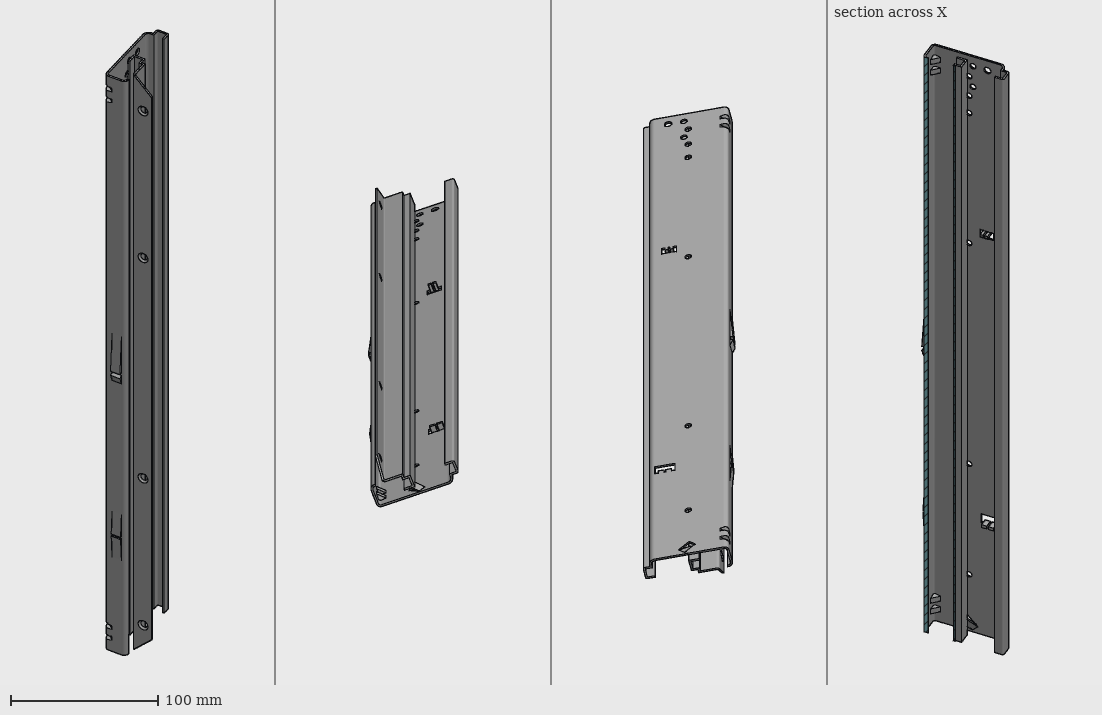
import cadquery as cq
import math

length = 500.0
sheet = 1.4

rail_top = 62.5
rail_bottom = 2.0
hook_lip_x = 15.2
hook_lip_end = 55.7
hook_back_x = 5.5
shoulder_y = 57.5
trough_x = 17.0
trough_end = 6.0
hook_lip_radius = 1.5
hook_back_radius = 1.8
shoulder_radius = 4.4
corner_radius = 3.0
trough_radius = 3.5

bracket_x = 31.5
flange_y = 13.0
flange_bend_radius = 0.5
wall_x = 17.8
step_y = 26.3
ridge_x = 15.0
ridge_y = 30.8
leg_x = 6.0
leg_end = 23.4

flange_holes_z = (24.0, 152.0, 344.0, 472.0)
flange_hole_x = 24.8
flange_hole_diameter = 4.5
flange_sink_diameter = 7.8

hole_diameter = 4.5
hook_side_hole = (43.7, 491.7, 5.2)
fixing_holes_y = 32.75
fixing_holes_z = (473.7, 491.7)
row_holes_y = 29.75
row_holes_z = (49.0, 145.0, 337.0, 450.0, 465.0, 482.0)

tab_reach = 6.0
tab_thickness = 2.4
tab_inset = 2.4
tab_gap = 1.2
upper_slot = {"y": (38.0, 48.4), "z": (345.5, 351.6)}
lower_slot = {"y": (39.0, 53.0), "z": (97.2, 104.8)}

lance_corner = (29.0, 13.2)
lance_length = 10.6
lance_width = 5.8
lance_depth = 4.0

dent_near_end = 8.0
dent_far_end = 23.7
dent_height = 5.0
dent_slope = 2.0
dent_cut = 0.5
dent_wall = 0.9
dent_depth = 4.1

pad_x0 = 6.0
pad_x1 = 13.4
ramp_start = 277.0
ramp_end = 245.6
stop_start = 243.5
stop_peak = 242.0
stop_end = 236.3
catch_high = 122.0
catch_low = 82.5
catch_gap = 1.8
catch_drop = 1.15
catch_middle = (catch_high + catch_low) / 2
pads = [
    (ramp_start, ramp_end, 0, rail_bottom),
    (stop_start, stop_peak, 0, rail_bottom),
    (stop_peak, stop_end, rail_bottom, 0),
    (catch_high, catch_middle + catch_gap / 2, 0, catch_drop),
    (catch_middle - catch_gap / 2, catch_low, catch_drop, 0),
]


def unit(start, end):
    """Unit vector from start to end."""
    run = math.dist(start, end)
    return ((end[0] - start[0]) / run, (end[1] - start[1]) / run)


def offset_path(points, distance):
    """The path shifted to its left by distance, with mitred corners."""
    directions = [unit(a, b) for a, b in zip(points, points[1:])]
    before = [directions[0]] + directions
    after = directions + [directions[-1]]
    shifted = []
    for (x, y), d0, d1 in zip(points, before, after):
        stretch = distance / (1 + d0[0] * d1[0] + d0[1] * d1[1])
        shifted.append((x - (d0[1] + d1[1]) * stretch, y + (d0[0] + d1[0]) * stretch))
    return shifted


def draw_rounded(sketch, points, radii):
    """Continue the sketch along points, rounding each inner corner by its radius."""
    for previous, corner, following, radius in zip(points, points[1:], points[2:], radii):
        if radius <= 0:
            sketch = sketch.lineTo(*corner)
            continue
        back = unit(corner, previous)
        ahead = unit(corner, following)
        half_angle = math.acos(back[0] * ahead[0] + back[1] * ahead[1]) / 2
        setback = radius / math.tan(half_angle)
        bisector = unit((0, 0), (back[0] + ahead[0], back[1] + ahead[1]))
        middle = radius / math.sin(half_angle) - radius
        sketch = sketch.lineTo(corner[0] + back[0] * setback, corner[1] + back[1] * setback)
        sketch = sketch.threePointArc(
            (corner[0] + bisector[0] * middle, corner[1] + bisector[1] * middle),
            (corner[0] + ahead[0] * setback, corner[1] + ahead[1] * setback),
        )
    return sketch.lineTo(*points[-1])


def bent_sheet(points, radii):
    """A sheet lying to the left of the path, bent at its corners and run along the full length."""
    inner = offset_path(points, sheet)
    inner_radii = []
    for a, b, c, radius in zip(points, points[1:], points[2:], radii):
        turn = (b[0] - a[0]) * (c[1] - b[1]) - (b[1] - a[1]) * (c[0] - b[0])
        grown = radius - math.copysign(sheet, turn)
        inner_radii.append(grown if radius > 0 else 0)
    sketch = cq.Workplane("XY").moveTo(*points[0])
    sketch = draw_rounded(sketch, points, radii)
    sketch = sketch.lineTo(*inner[-1])
    sketch = draw_rounded(sketch, inner[::-1], inner_radii[::-1])
    return sketch.close().extrude(length)


def box(x, y, z):
    """A block between the (low, high) limits along each axis."""
    block = cq.Workplane("XY").box(x[1] - x[0], y[1] - y[0], z[1] - z[0], centered=False)
    return block.translate((x[0], y[0], z[0]))


def web_hole(y, z, diameter):
    """A round cutter through the web."""
    return cq.Workplane("YZ").center(y, z).circle(diameter / 2).extrude(sheet)


def slot_window(slot):
    """The rectangular opening of a slot through the web."""
    return box((0, sheet), slot["y"], slot["z"])


def slot_tabs(slot, at_top):
    """Two tabs bent inward from the upper or lower long edge of a slot."""
    low, high = slot["y"]
    middle = (low + high) / 2
    bottom, top = slot["z"]
    z = (top - tab_thickness, top) if at_top else (bottom, bottom + tab_thickness)
    lower_tab = box((0, tab_reach), (low + tab_inset, middle - tab_gap / 2), z)
    upper_tab = box((0, tab_reach), (middle + tab_gap / 2, high - tab_inset), z)
    return lower_tab.union(upper_tab)


def place_lance(shape):
    """Turn a shape drawn from the lance corner by 45 degrees and put it on the web."""
    turned = shape.rotate((0, 0, 0), (1, 0, 0), -45)
    return turned.translate((0, *lance_corner))


def lance_window():
    """The rectangular opening left in the web by the lanced tongue."""
    return place_lance(box((0, sheet), (0, lance_length), (-lance_width, 0)))


def lance_tongue():
    """The lanced tongue: hinged at the far short side, sloping inward toward the corner."""
    outline = [(0, lance_length), (sheet, lance_length), (lance_depth + sheet, 0), (lance_depth, 0)]
    tongue = cq.Workplane("XY").polyline(outline).close().extrude(-lance_width)
    return place_lance(tongue)


def dent_wedge(depth, grow, z, slope_on_top):
    """A tapered block across the corner, reaching depth in along the diagonal at height z."""
    side = -1 if slope_on_top else 1
    steep_end = z + side * (dent_height / 2 + grow)
    slope_end = z - side * (dent_height / 2 + grow)
    outline = [
        (0, slope_end),
        (depth, slope_end + side * dent_slope),
        (depth, steep_end - side * dent_cut),
        (0, steep_end),
    ]
    wedge = cq.Workplane("XZ").polyline(outline).close().extrude(rail_top / 4, both=True)
    return wedge.rotate((0, 0, 0), (0, 0, 1), 45).translate((0, rail_bottom, 0))


def pad(z_high, z_low, drop_high, drop_low):
    """A ramp under the trough, dropping by the given amounts at its upper and lower ends."""
    inside = rail_bottom + sheet / 2
    outline = [
        (inside, z_high),
        (rail_bottom - drop_high, z_high),
        (rail_bottom - drop_low, z_low),
        (inside, z_low),
    ]
    return cq.Workplane("YZ").workplane(offset=pad_x0).polyline(outline).close().extrude(pad_x1 - pad_x0)


def add_dents(rail):
    """Press the corner inward at each dent, keeping the dent's wall about one sheet thick."""
    corner = box((0, trough_x), (rail_bottom, shoulder_y), (0, length))
    corner = corner.edges("|Z and <X and <Y").fillet(corner_radius)
    dents = [
        (length - dent_near_end - dent_height / 2, True),
        (length - dent_far_end + dent_height / 2, False),
        (dent_far_end - dent_height / 2, True),
        (dent_near_end + dent_height / 2, False),
    ]
    for z, slope_on_top in dents:
        rail = rail.union(dent_wedge(dent_depth + sheet, dent_wall, z, slope_on_top).intersect(corner))
        rail = rail.cut(dent_wedge(dent_depth, 0, z, slope_on_top))
    return rail


def make_rail():
    """The channel with its hook, web and trough, and everything pierced or formed in it."""
    path = [
        (hook_lip_x, hook_lip_end),
        (hook_lip_x, rail_top),
        (hook_back_x, rail_top),
        (hook_back_x, shoulder_y),
        (0, shoulder_y),
        (0, rail_bottom),
        (trough_x, rail_bottom),
        (trough_x, trough_end),
    ]
    radii = [hook_lip_radius, hook_back_radius, 0, shoulder_radius, corner_radius, trough_radius]
    rail = add_dents(bent_sheet(path, radii))

    rail = rail.cut(web_hole(*hook_side_hole))
    for z in fixing_holes_z:
        rail = rail.cut(web_hole(fixing_holes_y, z, hole_diameter))
    for z in row_holes_z:
        rail = rail.cut(web_hole(row_holes_y, z, hole_diameter))

    rail = rail.cut(slot_window(upper_slot)).union(slot_tabs(upper_slot, True))
    rail = rail.cut(slot_window(lower_slot)).union(slot_tabs(lower_slot, False))
    rail = rail.cut(lance_window()).union(lance_tongue())

    for z_high, z_low, drop_high, drop_low in pads:
        rail = rail.union(pad(z_high, z_low, drop_high, drop_low))
    return rail


def flange_hole(z):
    """A through hole countersunk from the flange's lower face."""
    lower_face = flange_y - sheet
    sink = (flange_sink_diameter - flange_hole_diameter) / 2
    outline = [
        (0, lower_face),
        (flange_sink_diameter / 2, lower_face),
        (flange_hole_diameter / 2, lower_face + sink),
        (flange_hole_diameter / 2, flange_y),
        (0, flange_y),
    ]
    cutter = cq.Workplane("XY").polyline(outline).close().revolve(360, (0, 0, 0), (0, 1, 0))
    return cutter.translate((flange_hole_x, 0, z))


def flange_corner(z_end, direction):
    """The 45 degree corner cut off one end of the flange."""
    run = bracket_x - wall_x
    outline = [(wall_x, z_end), (bracket_x, z_end), (bracket_x, z_end + direction * run)]
    return cq.Workplane("XZ").polyline(outline).close().extrude(-flange_y)


def make_bracket():
    """The stepped bracket inside the rail with its screw flange."""
    path = [
        (bracket_x, flange_y),
        (wall_x, flange_y),
        (wall_x, step_y),
        (ridge_x, step_y),
        (ridge_x, ridge_y),
        (leg_x, ridge_y),
        (leg_x, leg_end),
    ]
    bracket = bent_sheet(path, [flange_bend_radius, 0, 0, 0, 0])
    bracket = bracket.cut(flange_corner(length, -1)).cut(flange_corner(0, 1))
    for z in flange_holes_z:
        bracket = bracket.cut(flange_hole(z))
    return bracket


rail = make_rail()
bracket = make_bracket()
result = cq.Compound.makeCompound([rail.val(), bracket.val()])